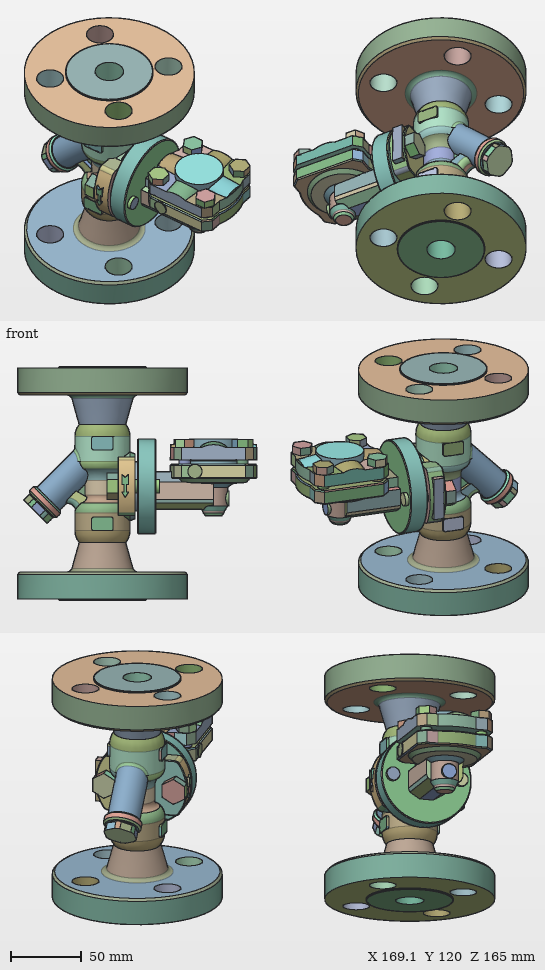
import cadquery as cq
import math


total_height = 165.0
flange_dia = 120.0
flange_chamfer = 1.7
flange_inner_z = 62.4
raised_face_dia = 61.9
raised_face_height = 1.0
bolt_hole_dia = 19.0
bolt_circle_dia = 84.5
bore_dia = 20.0
bore_end_z = 40.5

neck_root_radius = 21.6
neck_foot_radius = 25.4
neck_root_height = 2.4
neck_end_z = 41.5
neck_end_radius = 16.48
barrel_radius = 19.52
barrel_outer_z = 33.3
upper_barrel_inner_z = 15.5
lower_barrel_inner_z = -20.8
waist_radius = 12.5
waist_top_z = 2.2
waist_bottom_z = -8.3
pad_width = 15.2
pad_height = 9.6
pad_face_y = 19.8
pad_corner_radius = 1.5

branch_axis_z = 27.4
branch_dia = 23.0
branch_root_fillet = 3.4
collar_dia = 27.0
collar_start = 53.9
collar_length = 6.5
collar_chamfer = 1.4
plug_neck_dia = 21.0
plug_neck_length = 0.8
plug_across_flats = 22.0
plug_corner_dia = 23.5
plug_length = 5.7

connector_z = -2.0
connector_dia = 67.0
plate_start_x = 10.8
plate_end_x = 23.0
plate_half_height = 20.6
plate_corner_fillet = 4.4
disc_start_x = 24.7
disc_end_x = 37.7
disc_chamfer = 0.7
gasket_dia = 35.0
stud_spacing_y = 50.7
stud_dia = 9.5
stud_end_x = 40.4
nut_across_corners = 18.8
nut_start_x = 3.4

trap_x = 78.5
trap_half_side = 28.0
trap_corner_cut = 5.5
trap_bulge_reach = 30.6
trap_bulge_half_width = 14.0
base_bottom_z = 3.4
base_top_z = 13.7
cover_bottom_z = 16.7
cover_top_z = 25.5
trap_edge_chamfer = 0.8
trap_gasket_dia = 33.0
trap_gasket_top_z = 15.9
cover_spigot_dia = 31.3
hump_setback = 0.3
cap_dia = 34.0
cap_top_z = 31.5
cover_bolt_offset = 20.5
cover_bolt_dia = 8.0
cover_bolt_across_corners = 14.9
cover_bolt_top_z = 31.1
roundel_dia = 10.0
roundel_x = 65.2
roundel_height = 0.7
stem_dia = 20.0
stem_boss_dia = 10.5
stem_boss_z = -10.5
stem_boss_height = 1.0

arm_half_width = 13.5
arm_top_z = 1.2
arm_bottom_z = -18.3
arm_side_bottom_z = -11.2
arm_keel_top_z = -13.9
arm_keel_half_width = 12.3
arm_keel_bottom_half_width = 5.0
shoulder_end_x = 55.8
shoulder_top_z = 8.5
shoulder_half_width = 8.5


def cylinder_x(radius, x_start, x_end, y=0, z=connector_z):
    """Cylinder parallel to X between two X positions."""
    return cq.Workplane("YZ", origin=(x_start, y, z)).circle(radius).extrude(x_end - x_start)


def cylinder_z(radius, z_start, z_end, x=0, y=0):
    """Vertical cylinder between two heights."""
    return cq.Workplane("XY", origin=(x, y, z_start)).circle(radius).extrude(z_end - z_start)


def box_between(x_range, y_range, z_range):
    """Box given by its limits on each axis."""
    sizes = [high - low for low, high in (x_range, y_range, z_range)]
    corner = (x_range[0], y_range[0], z_range[0])
    return cq.Workplane("XY", origin=corner).box(*sizes, centered=False)


def tangent_bulge_mid(start, end):
    """Middle point of an arc in (r, z) that leaves `start` parallel to the Z axis."""
    inward = start[0] - end[0]
    rise = end[1] - start[1]
    radius = (inward**2 + rise**2) / (2 * inward)
    half_angle = math.atan2(inward, abs(rise))
    return (
        start[0] - radius * (1 - math.cos(half_angle)),
        start[1] + math.copysign(radius * math.sin(half_angle), rise),
    )


def make_pipe_body():
    """Turned body: two necks, two barrels and the waist between them; points are (r, z)."""
    top_end = (neck_end_radius, neck_end_z)
    top_start = (barrel_radius, barrel_outer_z)
    bottom_end = (neck_end_radius, -neck_end_z)
    bottom_start = (barrel_radius, -barrel_outer_z)
    upper_start = (barrel_radius, upper_barrel_inner_z)
    upper_end = (17.4, 10.3)
    lower_start = (barrel_radius, lower_barrel_inner_z)
    lower_end = (15.9, -13.7)
    upper_hollow = (13.7, 6.8)
    lower_hollow = (13.4, -12.0)
    root_z = flange_inner_z - neck_root_height
    foot_width = neck_foot_radius - neck_root_radius
    foot_arc_radius = (foot_width**2 + neck_root_height**2) / (2 * neck_root_height)
    foot_half_angle = math.atan2(neck_root_height, foot_width)
    foot_mid_radius = neck_foot_radius - foot_arc_radius * math.sin(foot_half_angle)
    foot_mid_z = flange_inner_z - foot_arc_radius * (1 - math.cos(foot_half_angle))
    return (
        cq.Workplane("XZ")
        .moveTo(0, flange_inner_z)
        .lineTo(neck_foot_radius, flange_inner_z)
        .threePointArc((foot_mid_radius, foot_mid_z), (neck_root_radius, root_z))
        .lineTo(*top_end)
        .threePointArc(tangent_bulge_mid(top_start, top_end), top_start)
        .lineTo(*upper_start)
        .threePointArc(tangent_bulge_mid(upper_start, upper_end), upper_end)
        .threePointArc(upper_hollow, (waist_radius, waist_top_z))
        .lineTo(waist_radius, waist_bottom_z)
        .threePointArc(lower_hollow, lower_end)
        .threePointArc(tangent_bulge_mid(lower_start, lower_end), lower_start)
        .lineTo(*bottom_start)
        .threePointArc(tangent_bulge_mid(bottom_start, bottom_end), bottom_end)
        .lineTo(neck_root_radius, -root_z)
        .threePointArc((foot_mid_radius, -foot_mid_z), (neck_foot_radius, -flange_inner_z))
        .lineTo(0, -flange_inner_z)
        .close()
        .revolve(360, (0, 0, 0), (0, 1, 0))
    )


def make_top_flange():
    """Flange with raised face; the bottom flange is its mirror image."""
    face_z = total_height / 2 - raised_face_height
    disc = cylinder_z(flange_dia / 2, flange_inner_z, face_z)
    disc = disc.faces("<Z").edges().chamfer(flange_chamfer)
    raised = cylinder_z(raised_face_dia / 2, face_z, total_height / 2)
    raised = raised.faces(">Z").edges().chamfer(raised_face_height / 2)
    holes = (
        cq.Workplane("XY", origin=(0, 0, flange_inner_z))
        .polarArray(bolt_circle_dia / 2, 45, 360, 4)
        .circle(bolt_hole_dia / 2)
        .extrude(total_height / 2)
    )
    return disc.union(raised).cut(holes)


def make_pads():
    """Raised rounded rectangles on the +Y and -Y sides of both barrels."""
    pad_z = barrel_outer_z - pad_height / 2
    return (
        cq.Workplane("XZ", origin=(0, pad_face_y, 0))
        .pushPoints([(0, pad_z), (0, -pad_z)])
        .rect(pad_width, pad_height)
        .extrude(2 * pad_face_y)
        .edges("|Y")
        .fillet(pad_corner_radius)
    )


branch_plane = cq.Plane(origin=(0, 0, branch_axis_z), xDir=(0, 1, 0), normal=(-1, 0, -1))


def make_branch_tube():
    """Plain tube, with a root fillet where it leaves the upper barrel."""
    tube = cq.Workplane(branch_plane).circle(branch_dia / 2).extrude(collar_start)
    barrel = cylinder_z(barrel_radius, -total_height / 2, total_height / 2)
    filleted = barrel.union(tube).edges("not %CIRCLE").edges("not %LINE").fillet(branch_root_fillet)
    upper_zone = box_between(
        (-collar_start, 0),
        (-collar_dia, collar_dia),
        (upper_barrel_inner_z, barrel_outer_z),
    )
    return tube.union(filleted.intersect(upper_zone))


def make_branch_end():
    """Collar and hexagonal plug, its corners turned round, at the low end of the branch."""
    collar_end = collar_start + collar_length
    plug_start = collar_end + plug_neck_length
    collar = (
        cq.Workplane(branch_plane)
        .workplane(offset=collar_start)
        .circle(collar_dia / 2)
        .extrude(collar_length)
        .edges()
        .chamfer(collar_chamfer)
    )
    neck = (
        cq.Workplane(branch_plane)
        .workplane(offset=collar_end)
        .circle(plug_neck_dia / 2)
        .extrude(plug_neck_length)
    )
    head = (
        cq.Workplane(branch_plane)
        .workplane(offset=plug_start)
        .polygon(6, plug_across_flats, circumscribed=True)
        .extrude(plug_length)
    )
    corner_round = (
        cq.Workplane(branch_plane)
        .workplane(offset=plug_start)
        .circle(plug_corner_dia / 2)
        .extrude(plug_length)
    )
    head = head.intersect(corner_round)
    return collar.union(neck).union(head)


def make_branch_web():
    """Rounded web and thinner core that fill the notch between branch and lower barrel."""
    web_width = 11.8
    web_edge_fillet = 4.0
    core_width = 6.0
    core_top_z = 5.0
    arch_start = (-28.7, -15.2)
    arch_middle = (-23.7, -14.2)
    arch_end = (-19.0, -18.3)
    web_root_x = -10.1
    web_root_top_z = -10.1
    web_top_outer = (-20.3, -4.2)
    web = (
        cq.Workplane("XZ", origin=(0, web_width / 2, 0))
        .moveTo(*arch_start)
        .threePointArc(arch_middle, arch_end)
        .lineTo(web_root_x, arch_end[1])
        .lineTo(web_root_x, web_root_top_z)
        .lineTo(*web_top_outer)
        .close()
        .extrude(web_width)
        .edges("%CIRCLE")
        .fillet(web_edge_fillet)
    )
    core = (
        cq.Workplane("XZ", origin=(0, core_width / 2, 0))
        .polyline([web_top_outer, (web_root_x, web_root_top_z), (web_root_x, core_top_z)])
        .close()
        .extrude(core_width)
    )
    return web.union(core)


def make_connector():
    """Flat-sided plate, its hub, the round disc behind it and the two studs."""
    plate = cylinder_x(connector_dia / 2, plate_start_x, plate_end_x)
    plate = plate.intersect(
        box_between(
            (plate_start_x, plate_end_x),
            (-connector_dia, connector_dia),
            (connector_z - plate_half_height, connector_z + plate_half_height),
        )
    )
    plate = plate.edges("|X").fillet(plate_corner_fillet)
    plate = plate.faces("<X").edges().chamfer(disc_chamfer)
    hub_radius = 24.3
    hub_crest_start_x = 15.5
    hub_crest_end_x = 19.5
    hub_end_radius = 22.9
    hub = (
        cq.Workplane("XY", origin=(0, 0, connector_z))
        .moveTo(plate_start_x, 0)
        .lineTo(plate_start_x, plate_half_height)
        .lineTo(hub_crest_start_x, hub_radius)
        .lineTo(hub_crest_end_x, hub_radius)
        .lineTo(plate_end_x, hub_end_radius)
        .lineTo(plate_end_x, 0)
        .close()
        .revolve(360, (0, 0, 0), (1, 0, 0))
    )
    disc = cylinder_x(connector_dia / 2, disc_start_x, disc_end_x).edges().chamfer(disc_chamfer)
    connector = plate.union(hub).union(disc)
    connector = connector.union(cylinder_x(gasket_dia / 2, plate_end_x, disc_start_x))
    for y in (-stud_spacing_y / 2, stud_spacing_y / 2):
        nut = (
            cq.Workplane("YZ", origin=(nut_start_x, y, connector_z))
            .transformed(rotate=(0, 0, 90))
            .polygon(6, nut_across_corners)
            .extrude(plate_start_x - nut_start_x)
        )
        connector = connector.union(nut)
        connector = connector.union(cylinder_x(stud_dia / 2, plate_start_x, stud_end_x, y))
    return connector


def make_plate_marks():
    """Flow arrow on the -Y edge of the plate and a plain tag pad on the +Y edge."""
    arrow_x = 16.0
    arrow_face_y = -34.3
    arrow_depth = 3.4
    arrow_top = 6.5
    notch_z = 4.4
    tail_end = -0.8
    head_start = -6.0
    arrow_tip = -9.8
    tail_half = 2.4
    shaft_half = 0.8
    right_side = [
        (tail_half, arrow_top),
        (tail_half, tail_end),
        (shaft_half, tail_end),
        (shaft_half, head_start),
        (tail_half, head_start),
    ]
    left_side = [(-x, z) for x, z in reversed(right_side)]
    outline = [(0, notch_z)] + right_side + [(0, arrow_tip)] + left_side
    arrow = (
        cq.Workplane("XZ", origin=(arrow_x, arrow_face_y, 0))
        .polyline(outline)
        .close()
        .extrude(-arrow_depth)
    )
    tag_x_range = (12.7, 20.3)
    tag_y_range = (28.7, 34.0)
    tag_z_range = (-17.0, 13.4)
    tag = box_between(tag_x_range, tag_y_range, tag_z_range)
    return arrow.union(tag)


def make_trap_plate(z_start, z_end):
    """Square plate with cut corners and gently bulged -X and +X sides."""
    side = trap_half_side
    flat = side - trap_corner_cut
    bulge = trap_bulge_half_width
    return (
        cq.Workplane("XY", origin=(trap_x, 0, z_start))
        .moveTo(-flat, -side)
        .lineTo(flat, -side)
        .lineTo(side, -flat)
        .lineTo(side, -bulge)
        .threePointArc((trap_bulge_reach, 0), (side, bulge))
        .lineTo(side, flat)
        .lineTo(flat, side)
        .lineTo(-flat, side)
        .lineTo(-side, flat)
        .lineTo(-side, bulge)
        .threePointArc((-trap_bulge_reach, 0), (-side, -bulge))
        .lineTo(-side, -flat)
        .close()
        .extrude(z_end - z_start)
    )


def make_cover_hump(angle, reach):
    """Arched hump that runs from the cap down to the edge of the cover."""
    inner_start = 11.8
    inner_half_width = 9.8
    inner_rise = 5.0
    outer_half_width = 8.3
    outer_rise = 1.9
    hump = (
        cq.Workplane("YZ", origin=(inner_start, 0, cover_top_z))
        .moveTo(-inner_half_width, 0)
        .threePointArc((0, inner_rise), (inner_half_width, 0))
        .close()
        .workplane(offset=reach - inner_start)
        .moveTo(-outer_half_width, 0)
        .threePointArc((0, outer_rise), (outer_half_width, 0))
        .close()
        .loft(ruled=True)
    )
    return hump.rotate((0, 0, 0), (0, 0, 1), angle).translate((trap_x, 0, 0))


def make_trap_cover():
    """Upper plate with cap and four humps."""
    cover = make_trap_plate(cover_bottom_z, cover_top_z)
    cover = cover.union(cylinder_z(cap_dia / 2, cover_top_z, cap_top_z, trap_x))
    for angle in (0, 90, 180, 270):
        reach = trap_bulge_reach - hump_setback if angle % 180 == 0 else trap_half_side
        cover = cover.union(make_cover_hump(angle, reach))
    return cover


def make_cover_bolts():
    """Four bolts; the heads of diagonal neighbours are turned alike."""
    bolts = cq.Workplane("XY")
    for x_side in (-1, 1):
        for y_side in (-1, 1):
            x = trap_x + x_side * cover_bolt_offset
            y = y_side * cover_bolt_offset
            turn = 90 if x_side == y_side else 0
            head = (
                cq.Workplane("XY", origin=(x, y, cover_top_z))
                .transformed(rotate=(0, 0, turn))
                .polygon(6, cover_bolt_across_corners)
                .extrude(cover_bolt_top_z - cover_top_z)
            )
            shank = cylinder_z(cover_bolt_dia / 2, base_top_z, cover_top_z, x, y)
            bolts = bolts.union(head).union(shank)
    return bolts


def make_trap_base():
    """Lower plate, roundel, gasket, cover spigot, and the turned underside with its stem."""
    base = make_trap_plate(base_bottom_z, base_top_z).faces("<Z or >Z").edges().chamfer(trap_edge_chamfer)
    gasket = cylinder_z(trap_gasket_dia / 2, base_top_z, trap_gasket_top_z, trap_x)
    spigot = cylinder_z(cover_spigot_dia / 2, base_top_z, cover_bottom_z, trap_x)
    roundel_z = (base_bottom_z + base_top_z) / 2
    roundel = (
        cq.Workplane("XZ", origin=(roundel_x, -trap_half_side - roundel_height, roundel_z))
        .circle(roundel_dia / 2)
        .extrude(-2 * roundel_height)
    )
    stem_radius = stem_dia / 2
    dish_top_radius = 25.7
    dish_rim = (23.0, 0.7)
    dish_floor = (13.9, 0.0)
    stem_top_z = -2.7
    stem_taper_z = -15.9
    taper_end = (7.8, -19.5)
    tip_chamfer_start = (7.3, -21.0)
    tip_end = (5.7, -22.8)
    underside = (
        cq.Workplane("XZ", origin=(trap_x, 0, 0))
        .moveTo(0, base_bottom_z)
        .lineTo(dish_top_radius, base_bottom_z)
        .lineTo(*dish_rim)
        .lineTo(*dish_floor)
        .lineTo(stem_radius, stem_top_z)
        .lineTo(stem_radius, stem_taper_z)
        .lineTo(*taper_end)
        .lineTo(*tip_chamfer_start)
        .lineTo(*tip_end)
        .lineTo(0, tip_end[1])
        .close()
        .revolve(360, (0, 0, 0), (0, 1, 0))
    )
    stem_end_x = trap_x + stem_radius + stem_boss_height
    boss = cylinder_x(stem_boss_dia / 2, trap_x, stem_end_x, z=stem_boss_z)
    return base.union(gasket).union(spigot).union(roundel).union(underside).union(boss)


def make_arm():
    """Arm from the connector disc to the stem, with a shoulder up to the trap base."""
    right_half = [
        (arm_half_width, arm_top_z),
        (arm_half_width, arm_side_bottom_z),
        (arm_keel_half_width, arm_keel_top_z),
        (arm_keel_bottom_half_width, arm_bottom_z),
    ]
    left_half = [(-y, z) for y, z in reversed(right_half)]
    arm = (
        cq.Workplane("YZ", origin=(disc_end_x, 0, 0))
        .polyline(right_half + left_half)
        .close()
        .extrude(trap_x - disc_end_x)
    )
    shoulder = box_between(
        (disc_end_x, shoulder_end_x),
        (-shoulder_half_width, shoulder_half_width),
        (arm_bottom_z / 2, shoulder_top_z),
    )
    return arm.union(shoulder)


top_flange = make_top_flange()
pipe = make_pipe_body().union(top_flange).union(top_flange.mirror("XY"))
pipe = pipe.union(make_branch_tube())
pipe = pipe.union(make_pads()).union(make_branch_end()).union(make_branch_web())

bore = cylinder_z(bore_dia / 2, bore_end_z, total_height / 2)
pipe = pipe.cut(bore).cut(bore.mirror("XY"))

trap = make_trap_base().union(make_trap_cover()).union(make_cover_bolts())

result = pipe.union(make_connector()).union(make_plate_marks()).union(make_arm()).union(trap)